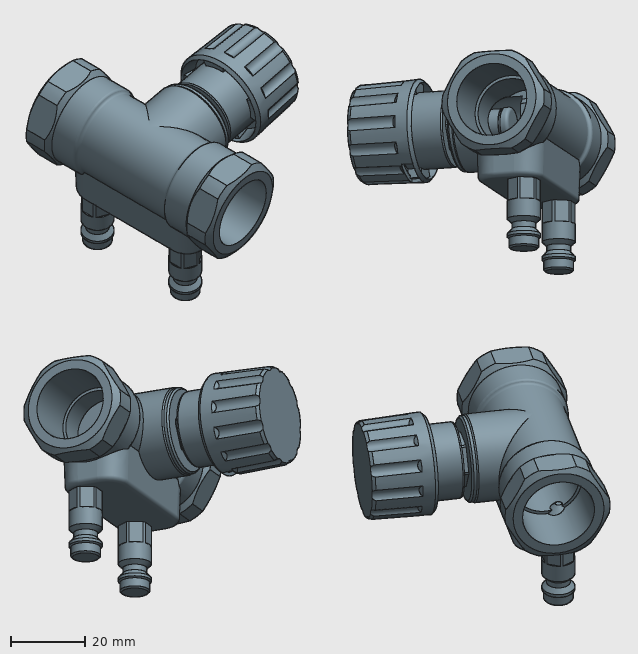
import cadquery as cq
import math


HALF_LENGTH = 32.5
TUBE_R = 12.0
COLLAR_R = 13.0
COLLAR_INNER_X = 16.3
BLEND_ANGLE = math.radians(60)

END_HEX_FLATS = 26.9
END_HEX_CORNER_R = 14.4
END_HEX_INNER_X = 23.45
END_FACE_R = 12.5
END_CHAMFER_LENGTH = 1.25

MOUTH_R = 9.9
MOUTH_INNER_X = COLLAR_INNER_X
PASSAGE_R = 9.05
INLET_WALL_X = -1.3
INLET_BOSS_R = 6.7
INLET_BOSS_HEIGHT = 1.55
CHAMBER_R = 7.55
CHAMBER_WALL = 1.3
CHAMBER_FLOOR_Y = 1.4
CHAMBER_ROOF_Y = 13.0

BRANCH_CHAMFER = 0.45
BRANCH_END_Y = 18.0
INSERT_R = 11.75
INSERT_END_Y = 19.4
INSERT_CHAMFER = 0.5
STEM_HEX_FLATS = 13.1
STEM_HEX_CORNER_R = 7.4

PLUG_R = 4.8
PLUG_BOTTOM_Y = 4.3
PLUG_THICKNESS = 2.4
PLUG_BOTTOM_ROUND = 1.0
PLUG_TOP_ROUND = 0.3
PLUG_GROOVE_R = 4.3
PLUG_GROOVE_WIDTH = 0.5
SPINDLE_R = 4.55

SLEEVE_R = 10.4
SLEEVE_BOTTOM_Y = 21.1
SLEEVE_CHAMFER = 0.45
SLEEVE_CHAMFER_DEPTH = 0.2
WHEEL_BOTTOM_Y = 28.9
WHEEL_TOP_Y = 47.05
WHEEL_RIM_Y = 29.9
WHEEL_RIM_R = 14.0
WHEEL_RIM_INNER_R = 13.05
WHEEL_SHOULDER_Y = 46.15
WHEEL_SHOULDER_R = 13.45
WHEEL_TOP_R = 12.95
WHEEL_FLOOR_Y = 33.8
WHEEL_FLOOR_R = 12.1
GROOVE_COUNT = 12
GROOVE_R = 2.1
GROOVE_DEPTH = 0.9
GROOVE_END_Y = 33.3
WINDOW_START_ANGLE = 231
WINDOW_END_ANGLE = 272
WINDOW_TOP_Y = 33.15
TAB_COUNT = 4
TAB_BOTTOM_Y = 29.95
TAB_CENTER_ANGLE = 13
TAB_SPAN_ANGLE = 34
TAB_OUTER_R = 12.95
TAB_SUNK_DEPTH = 0.3
WINDOW_CLEARANCE = 0.65

BASE_BOTTOM_Z = -18.9
BASE_TOP_Z = -3.25
BASE_LENGTH = 42.9
BASE_WIDTH = 18.0
BASE_CORNER_R = 6.1
BASE_DRAFT = 2.0
BASE_EDGE_ROUND = 1.35

NIPPLE_X = 15.35
NIPPLE_Y = -3.6
NIPPLE_HEX_FLATS = 8.1
NIPPLE_R = 4.5
NIPPLE_HEX_BOTTOM_Z = -24.75
NIPPLE_SHANK_BOTTOM_Z = -29.65
NIPPLE_NECK_R = 3.25
NIPPLE_NECK_TOP_Z = -30.8
NIPPLE_NECK_BOTTOM_Z = -32.4
NIPPLE_BEAD_TOP_Z = -33.75
NIPPLE_BEAD_BOTTOM_Z = -34.6
NIPPLE_TIP_R = 4.0
NIPPLE_TIP_TOP_Z = -35.0
NIPPLE_BOTTOM_Z = -37.75
NIPPLE_TIP_CHAMFER = 0.45
NIPPLE_INNER_TIP_R = 0.9
NIPPLE_INNER_TIP_Z = -7.6


def turned_about_x(points):
    """Revolve an outline of (x, radius) points about the X axis."""
    return cq.Workplane("XY").polyline(points).close().revolve(360, (0, 0), (1, 0))


def turned_about_y(points):
    """Revolve an outline of (radius, y) points about the Y axis."""
    return cq.Workplane("XY").polyline(points).close().revolve(360, (0, 0), (0, 1))


def turned_about_z(points):
    """Revolve an outline of (radius, z) points about the Z axis."""
    return cq.Workplane("XZ").polyline(points).close().revolve(360, (0, 0), (0, 1))


def cylinder_y(radius, start_y, end_y):
    return cq.Workplane("XZ", origin=(0, start_y, 0)).circle(radius).extrude(start_y - end_y)


def hex_prism(plane, origin, flats, length):
    """Hexagon with a corner on the plane's local x axis."""
    corner_diameter = flats / math.cos(math.pi / 6)
    return cq.Workplane(plane, origin=origin).polygon(6, corner_diameter).extrude(length)


def both_ends(solid):
    return solid.union(solid.mirror("YZ"))


def make_run():
    tube = cq.Workplane("YZ").circle(TUBE_R).extrude(END_HEX_INNER_X, both=True)

    arc_drop = (COLLAR_R - TUBE_R) / 2
    arc_r = arc_drop / (1 - math.cos(BLEND_ANGLE))
    arc_length = arc_r * math.sin(BLEND_ANGLE)
    half_sin = arc_r * math.sin(BLEND_ANGLE / 2)
    half_drop = arc_r * (1 - math.cos(BLEND_ANGLE / 2))
    blend_end_x = COLLAR_INNER_X - 2 * arc_length
    collar = (
        cq.Workplane("XY")
        .moveTo(blend_end_x, 0)
        .lineTo(END_HEX_INNER_X, 0)
        .lineTo(END_HEX_INNER_X, COLLAR_R)
        .lineTo(COLLAR_INNER_X, COLLAR_R)
        .threePointArc(
            (COLLAR_INNER_X - half_sin, COLLAR_R - half_drop),
            (COLLAR_INNER_X - arc_length, COLLAR_R - arc_drop),
        )
        .threePointArc((blend_end_x + half_sin, TUBE_R + half_drop), (blend_end_x, TUBE_R))
        .close()
        .revolve(360, (0, 0), (1, 0))
    )

    hex_end = hex_prism(
        "YZ", (END_HEX_INNER_X, 0, 0), END_HEX_FLATS, HALF_LENGTH - END_HEX_INNER_X
    )
    inner_chamfer = END_HEX_CORNER_R - COLLAR_R
    envelope = turned_about_x([
        (END_HEX_INNER_X, 0),
        (END_HEX_INNER_X, COLLAR_R),
        (END_HEX_INNER_X + inner_chamfer, END_HEX_CORNER_R),
        (HALF_LENGTH - END_CHAMFER_LENGTH, END_HEX_CORNER_R),
        (HALF_LENGTH, END_FACE_R),
        (HALF_LENGTH, 0),
    ])
    return tube.union(both_ends(collar.union(hex_end.intersect(envelope))))


def make_branch():
    branch = turned_about_y([
        (0, 0),
        (TUBE_R, 0),
        (TUBE_R, BRANCH_END_Y - BRANCH_CHAMFER),
        (INSERT_R, BRANCH_END_Y),
        (INSERT_R, INSERT_END_Y - INSERT_CHAMFER),
        (INSERT_R - INSERT_CHAMFER, INSERT_END_Y),
        (0, INSERT_END_Y),
    ])
    stem_length = SLEEVE_BOTTOM_Y - INSERT_END_Y
    stem = hex_prism("XZ", (0, SLEEVE_BOTTOM_Y, 0), STEM_HEX_FLATS, stem_length)
    stem = stem.intersect(cylinder_y(STEM_HEX_CORNER_R, INSERT_END_Y, SLEEVE_BOTTOM_Y))
    return branch.union(stem)


def make_base():
    base = (
        cq.Workplane("XY", origin=(0, 0, BASE_BOTTOM_Z))
        .sketch()
        .rect(BASE_LENGTH, BASE_WIDTH)
        .vertices()
        .fillet(BASE_CORNER_R)
        .finalize()
        .extrude(BASE_TOP_Z - BASE_BOTTOM_Z, taper=-BASE_DRAFT)
    )
    return base.faces("<Z").edges().fillet(BASE_EDGE_ROUND)


def bore_along_x(radius, start_x, end_x):
    return cq.Workplane("YZ", origin=(start_x, 0, 0)).circle(radius).extrude(end_x - start_x)


def make_waterways():
    """Inlet from -X opening into the valve chamber, and outlet from +X ending short of it."""
    mouth = bore_along_x(MOUTH_R, MOUTH_INNER_X, HALF_LENGTH)
    inlet = bore_along_x(PASSAGE_R, -MOUTH_INNER_X, INLET_WALL_X)
    outlet = bore_along_x(PASSAGE_R, CHAMBER_R + CHAMBER_WALL, MOUTH_INNER_X)

    boss_tip_x = INLET_WALL_X - INLET_BOSS_HEIGHT
    boss = turned_about_x([
        (INLET_WALL_X, 0),
        (INLET_WALL_X, INLET_BOSS_R),
        (boss_tip_x, INLET_BOSS_R - INLET_BOSS_HEIGHT),
        (boss_tip_x, 0),
    ])
    chamber = cylinder_y(CHAMBER_R, CHAMBER_FLOOR_Y, CHAMBER_ROOF_Y)
    return both_ends(mouth).union(inlet.cut(boss)).union(outlet).union(chamber)


def make_plug():
    disc_top_y = PLUG_BOTTOM_Y + PLUG_THICKNESS
    disc = cylinder_y(PLUG_R, PLUG_BOTTOM_Y, disc_top_y)
    disc = disc.faces("<Y").edges().fillet(PLUG_BOTTOM_ROUND)
    disc = disc.faces(">Y").edges().fillet(PLUG_TOP_ROUND)
    groove_top_y = disc_top_y + PLUG_GROOVE_WIDTH
    neck = cylinder_y(PLUG_GROOVE_R, disc_top_y, groove_top_y)
    spindle = cylinder_y(SPINDLE_R, groove_top_y, INSERT_END_Y)
    return disc.union(neck).union(spindle)


def make_grip_groove():
    """Cutter for the grip groove at +Z: a cylinder along the wheel taper with a 45 degree end."""
    taper = math.atan2(WHEEL_RIM_R - WHEEL_SHOULDER_R, WHEEL_SHOULDER_Y - WHEEL_RIM_Y)
    surface_r = WHEEL_RIM_R - (GROOVE_END_Y - WHEEL_RIM_Y) * math.tan(taper)
    length = WHEEL_TOP_Y - WHEEL_BOTTOM_Y
    axis_z = surface_r - GROOVE_DEPTH + GROOVE_R
    rod = (
        cq.Workplane("XZ", origin=(0, GROOVE_END_Y, axis_z))
        .circle(GROOVE_R)
        .extrude(-length)
        .rotate((0, GROOVE_END_Y, axis_z), (1, GROOVE_END_Y, axis_z), -math.degrees(taper))
    )
    reach = GROOVE_R + GROOVE_DEPTH
    trim = (
        cq.Workplane("YZ")
        .polyline([
            (GROOVE_END_Y, surface_r),
            (GROOVE_END_Y + reach, surface_r - reach),
            (GROOVE_END_Y + length, surface_r - reach),
            (GROOVE_END_Y + length, surface_r + reach),
            (GROOVE_END_Y, surface_r + reach),
        ])
        .close()
        .extrude(GROOVE_R, both=True)
    )
    return rod.intersect(trim)


def annular_sector(inner_r, outer_r, start_y, end_y, start_angle, end_angle):
    """Part of a ring around the Y axis; angles run from +X towards +Z."""
    sector = (
        cq.Workplane("XY")
        .moveTo(inner_r, start_y)
        .lineTo(outer_r, start_y)
        .lineTo(outer_r, end_y)
        .lineTo(inner_r, end_y)
        .close()
        .revolve(end_angle - start_angle, (0, 0), (0, -1))
    )
    return sector.rotate((0, 0, 0), (0, -1, 0), start_angle)


def make_handwheel():
    wheel = turned_about_y([
        (0, WHEEL_FLOOR_Y),
        (WHEEL_FLOOR_R, WHEEL_FLOOR_Y),
        (WHEEL_RIM_INNER_R, WHEEL_BOTTOM_Y),
        (WHEEL_RIM_R, WHEEL_RIM_Y),
        (WHEEL_SHOULDER_R, WHEEL_SHOULDER_Y),
        (WHEEL_TOP_R, WHEEL_TOP_Y),
        (0, WHEEL_TOP_Y),
    ])
    groove = make_grip_groove()
    for index in range(GROOVE_COUNT):
        wheel = wheel.cut(groove.rotate((0, 0, 0), (0, 1, 0), index * 360 / GROOVE_COUNT))
    window_outer_r = WHEEL_RIM_R + WINDOW_CLEARANCE
    window = annular_sector(
        SLEEVE_R, window_outer_r, WHEEL_RIM_Y, WINDOW_TOP_Y, WINDOW_START_ANGLE, WINDOW_END_ANGLE
    )
    wheel = wheel.cut(window)

    tab_start = TAB_CENTER_ANGLE - TAB_SPAN_ANGLE / 2
    tab_end = TAB_CENTER_ANGLE + TAB_SPAN_ANGLE / 2
    tab = annular_sector(
        SLEEVE_R - TAB_SUNK_DEPTH, TAB_OUTER_R, TAB_BOTTOM_Y, WHEEL_FLOOR_Y, tab_start, tab_end
    )
    for index in range(TAB_COUNT):
        wheel = wheel.union(tab.rotate((0, 0, 0), (0, 1, 0), index * 360 / TAB_COUNT))
    sleeve = turned_about_y([
        (0, SLEEVE_BOTTOM_Y),
        (SLEEVE_R - SLEEVE_CHAMFER_DEPTH, SLEEVE_BOTTOM_Y),
        (SLEEVE_R, SLEEVE_BOTTOM_Y + SLEEVE_CHAMFER),
        (SLEEVE_R, WHEEL_FLOOR_Y),
        (0, WHEEL_FLOOR_Y),
    ])
    return wheel.union(sleeve)


def make_nipple():
    hexagon = hex_prism(
        "XY", (0, 0, NIPPLE_HEX_BOTTOM_Z), NIPPLE_HEX_FLATS, BASE_BOTTOM_Z - NIPPLE_HEX_BOTTOM_Z
    )
    rounding = cq.Workplane("XY", origin=(0, 0, NIPPLE_HEX_BOTTOM_Z)).circle(NIPPLE_R)
    hexagon = hexagon.intersect(rounding.extrude(BASE_BOTTOM_Z - NIPPLE_HEX_BOTTOM_Z))
    plug = turned_about_z([
        (0, NIPPLE_HEX_BOTTOM_Z),
        (NIPPLE_R, NIPPLE_HEX_BOTTOM_Z),
        (NIPPLE_R, NIPPLE_SHANK_BOTTOM_Z),
        (NIPPLE_NECK_R, NIPPLE_NECK_TOP_Z),
        (NIPPLE_NECK_R, NIPPLE_NECK_BOTTOM_Z),
        (NIPPLE_R, NIPPLE_BEAD_TOP_Z),
        (NIPPLE_R, NIPPLE_BEAD_BOTTOM_Z),
        (NIPPLE_TIP_R, NIPPLE_TIP_TOP_Z),
        (NIPPLE_TIP_R, NIPPLE_BOTTOM_Z + NIPPLE_TIP_CHAMFER),
        (NIPPLE_TIP_R - NIPPLE_TIP_CHAMFER, NIPPLE_BOTTOM_Z),
        (0, NIPPLE_BOTTOM_Z),
    ])
    cone_height = NIPPLE_NECK_R - NIPPLE_INNER_TIP_R
    cone = turned_about_z([
        (0, NIPPLE_INNER_TIP_Z),
        (NIPPLE_INNER_TIP_R, NIPPLE_INNER_TIP_Z),
        (NIPPLE_NECK_R, NIPPLE_INNER_TIP_Z - cone_height),
        (NIPPLE_NECK_R, BASE_BOTTOM_Z),
        (0, BASE_BOTTOM_Z),
    ])
    return hexagon.union(plug).union(cone).translate((NIPPLE_X, NIPPLE_Y, 0))


body = make_run().union(make_branch()).union(make_base()).cut(make_waterways())
result = body.union(make_plug()).union(make_handwheel()).union(both_ends(make_nipple()))